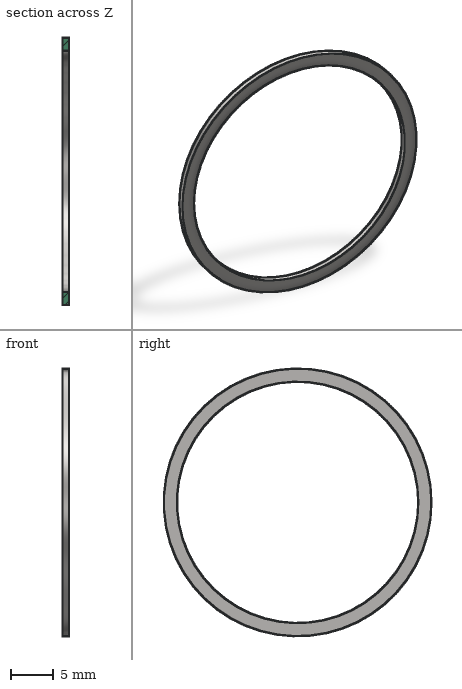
import cadquery as cq

outer_diameter = 31.75
inner_diameter = 28.58
thickness = 0.8

result = (
    cq.Workplane("YZ")
    .circle(outer_diameter / 2)
    .circle(inner_diameter / 2)
    .extrude(thickness)
)